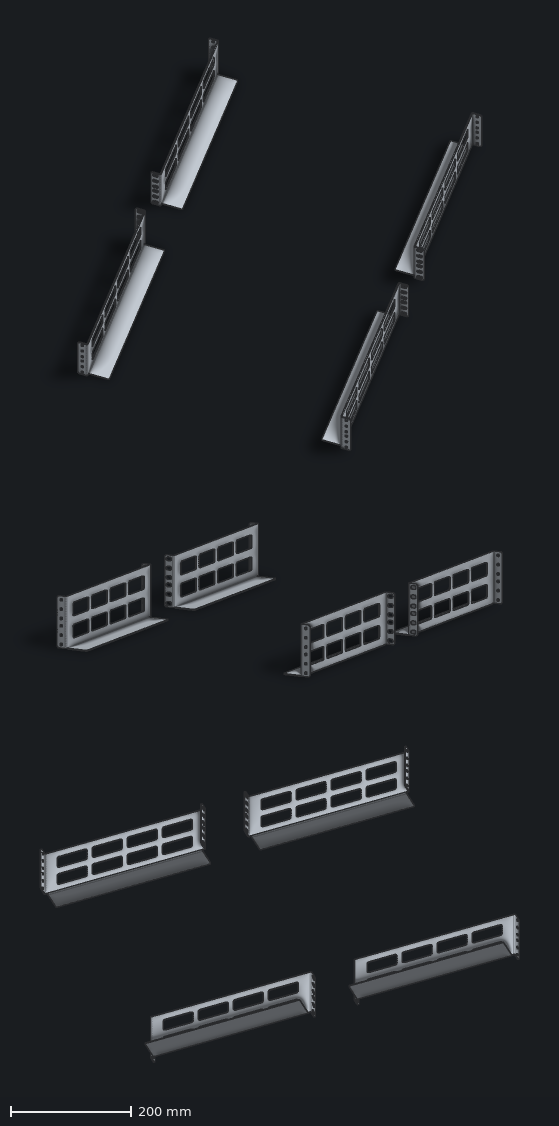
import cadquery as cq

LAYOUT_WIDTH = 481.0
LAYOUT_LENGTH = 660.5
HEIGHT = 90.5

SHEET = 2.0
INNER_BEND_RADIUS = 0.5
OUTER_BEND_RADIUS = INNER_BEND_RADIUS + SHEET
BRACKET_LENGTH = 292.0
EAR_WIDTH = 16.0
EAR_BOTTOM = 2.0
EAR_HEIGHT = HEIGHT - EAR_BOTTOM
EAR_CORNER_CHAMFER = 2.5
SHELF_WIDTH = 37.5
SHELF_END_INSET = 6.0
SHELF_CORNER_RADIUS = 2.0
SHELF_BEND_TOP = 2 * SHEET

HOLE_DIAMETER = 4.5
SLOT_LENGTH = 10.0
SLOT_HEIGHT = 6.5
HOLE_EDGE_OFFSET = 8.0
TOP_HOLE_DROP = 6.5
WIDE_PITCH = 16.0
NARROW_PITCH = 12.5
HOLE_DROPS = [
    unit_drop + step * WIDE_PITCH
    for unit_drop in (TOP_HOLE_DROP, TOP_HOLE_DROP + 2 * WIDE_PITCH + NARROW_PITCH)
    for step in range(3)
]

WINDOW_COLUMNS = 4
WINDOW_ROWS = 2
WINDOW_LENGTH = 54.0
WINDOW_HEIGHT = 23.0
WINDOW_COLUMN_PITCH = 63.5
WINDOW_ROW_PITCH = 37.5
WINDOW_CENTER_HEIGHT = 45.5
WINDOW_CORNER_RADIUS = 4.0

OUTER_X = -LAYOUT_WIDTH / 2
WALL_X = OUTER_X + EAR_WIDTH
FRONT_Y = -LAYOUT_LENGTH / 2
BACK_Y = FRONT_Y + BRACKET_LENGTH
MIDDLE_Y = FRONT_Y + BRACKET_LENGTH / 2


def make_eared_wall():
    """Upright wall bent outward into an ear at each end."""
    inner_x = WALL_X + SHEET
    profile = [
        (OUTER_X, FRONT_Y),
        (inner_x, FRONT_Y),
        (inner_x, BACK_Y),
        (OUTER_X, BACK_Y),
        (OUTER_X, BACK_Y - SHEET),
        (WALL_X, BACK_Y - SHEET),
        (WALL_X, FRONT_Y + SHEET),
        (OUTER_X, FRONT_Y + SHEET),
    ]
    channel = cq.Workplane("XY", origin=(0, 0, EAR_BOTTOM)).polyline(profile).close().extrude(EAR_HEIGHT)
    channel = channel.edges("|Z and >X").fillet(OUTER_BEND_RADIUS)
    inner_bends = cq.selectors.BoxSelector(
        (WALL_X - SHEET / 2, FRONT_Y, 0),
        (WALL_X + SHEET / 2, BACK_Y, HEIGHT),
    )
    channel = channel.edges("|Z").edges(inner_bends).fillet(INNER_BEND_RADIUS)
    return channel.edges("|Y and <X").chamfer(EAR_CORNER_CHAMFER)


def make_shelf():
    """Shelf running inward from a bend along the foot of the wall."""
    inner_x = WALL_X + SHEET
    edge_x = WALL_X + SHELF_WIDTH
    profile = [
        (WALL_X, 0),
        (edge_x, 0),
        (edge_x, SHEET),
        (inner_x, SHEET),
        (inner_x, SHELF_BEND_TOP),
        (WALL_X, SHELF_BEND_TOP),
    ]
    shelf = (
        cq.Workplane("XZ", origin=(0, FRONT_Y + SHELF_END_INSET, 0))
        .polyline(profile)
        .close()
        .extrude(2 * SHELF_END_INSET - BRACKET_LENGTH)
    )
    shelf = shelf.edges("|Z and >X").fillet(SHELF_CORNER_RADIUS)
    shelf = shelf.edges("|Y and <X and <Z").fillet(OUTER_BEND_RADIUS)
    inner_bend = cq.selectors.NearestToPointSelector((inner_x, MIDDLE_Y, SHEET))
    return shelf.edges("|Y").edges(inner_bend).fillet(INNER_BEND_RADIUS)


def make_windows():
    """Cutters for the two rows of rounded windows in the wall."""
    return (
        cq.Workplane("YZ", origin=(WALL_X, MIDDLE_Y, WINDOW_CENTER_HEIGHT))
        .rarray(WINDOW_COLUMN_PITCH, WINDOW_ROW_PITCH, WINDOW_COLUMNS, WINDOW_ROWS)
        .rect(WINDOW_LENGTH, WINDOW_HEIGHT)
        .extrude(SHEET)
        .edges("|X")
        .fillet(WINDOW_CORNER_RADIUS)
    )


def ear_opening_centers(ear_y):
    """Workplane on the front face of the ear at ear_y, with its column of opening centers."""
    centers = [(OUTER_X + HOLE_EDGE_OFFSET, HEIGHT - drop) for drop in HOLE_DROPS]
    return cq.Workplane("XZ", origin=(0, ear_y, 0)).pushPoints(centers)


def make_round_holes():
    """Cutters for the round holes in the ear at the outer end."""
    return ear_opening_centers(FRONT_Y).circle(HOLE_DIAMETER / 2).extrude(-SHEET)


def make_slots():
    """Cutters for the horizontal slots in the ear at the inner end."""
    return ear_opening_centers(BACK_Y - SHEET).slot2D(SLOT_LENGTH, SLOT_HEIGHT).extrude(-SHEET)


def make_bracket():
    """Front-left bracket: wall with ears, and the shelf at its foot."""
    bracket = make_eared_wall().union(make_shelf())
    return bracket.cut(make_windows()).cut(make_round_holes()).cut(make_slots())


left_bracket = make_bracket()
right_bracket = left_bracket.mirror("YZ")
brackets = []
for turn in (0, 180):
    for bracket in (left_bracket, right_bracket):
        brackets.append(bracket.rotate((0, 0, 0), (0, 0, 1), turn).solids().val())

result = cq.Compound.makeCompound(brackets)